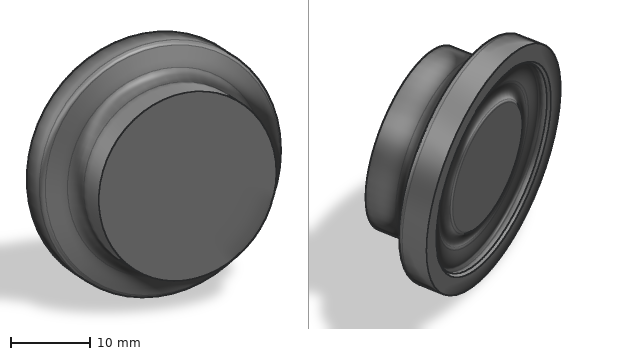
import cadquery as cq
import math

length = 11.5
flange_radius = 34 / 2
stub_radius = 25.0 / 2
edge_start = 3.57
edge_radius = 0.75
taper_angle = 20
cove_end = 7.1
cove_radius = 2.05

wall_radius = 28.4 / 2
lip_width = 0.35
lip_depth = 0.4
recess_depth = 1.53
floor_fillet = 0.4

groove_mouth_radius = 22.85 / 2
groove_outer_radius = 22.1 / 2
groove_inner_radius = 18.22 / 2
disc_radius = 17.55 / 2
groove_outer_angle = 31
groove_inner_angle = 60



def polar(center_x, center_r, radius, angle):
    """Point on an arc; the angle turns from the radial direction towards +X."""
    a = math.radians(angle)
    return (center_x + radius * math.sin(a), center_r + radius * math.cos(a))


def build_body():
    edge_center_r = flange_radius - edge_radius
    edge_sweep = 90 - taper_angle
    edge_mid = polar(edge_start, edge_center_r, edge_radius, edge_sweep / 2)
    edge_end = polar(edge_start, edge_center_r, edge_radius, edge_sweep)
    cove_center_r = stub_radius + cove_radius
    cove_start = polar(cove_end, cove_center_r, cove_radius, 180 + edge_sweep)
    cove_mid = polar(cove_end, cove_center_r, cove_radius, 180 + edge_sweep / 2)
    profile = (
        cq.Workplane("XY")
        .lineTo(0, flange_radius)
        .lineTo(edge_start, flange_radius)
        .threePointArc(edge_mid, edge_end)
        .lineTo(*cove_start)
        .threePointArc(cove_mid, (cove_end, stub_radius))
        .lineTo(length, stub_radius)
        .lineTo(length, 0)
        .close()
    )
    return profile.revolve(360, (0, 0, 0), (1, 0, 0))


def build_recess():
    outer = math.radians(groove_outer_angle)
    inner = math.radians(groove_inner_angle)
    groove_width = groove_outer_radius - groove_inner_radius
    groove_radius = groove_width / (math.sin(outer) + math.sin(inner))
    mouth_rounding = (groove_mouth_radius - groove_outer_radius) / math.sin(outer)
    disc_rounding = (groove_inner_radius - disc_radius) / math.sin(inner)

    outer_depth = recess_depth + mouth_rounding * (1 - math.cos(outer))
    groove_center_x = outer_depth - groove_radius * math.cos(outer)
    groove_center_r = groove_outer_radius - groove_radius * math.sin(outer)
    inner_depth = groove_center_x + groove_radius * math.cos(inner)
    disc_depth = inner_depth - disc_rounding * (1 - math.cos(inner))

    mouth_mid = polar(
        recess_depth + mouth_rounding, groove_mouth_radius, mouth_rounding, 270 - groove_outer_angle / 2
    )
    disc_mid = polar(disc_depth + disc_rounding, disc_radius, disc_rounding, 270 + groove_inner_angle / 2)
    wall_end = recess_depth - floor_fillet
    fillet_mid = polar(wall_end, wall_radius - floor_fillet, floor_fillet, 45)

    profile = (
        cq.Workplane("XY")
        .lineTo(0, wall_radius + lip_width)
        .lineTo(lip_depth, wall_radius)
        .lineTo(wall_end, wall_radius)
        .threePointArc(fillet_mid, (recess_depth, wall_radius - floor_fillet))
        .lineTo(recess_depth, groove_mouth_radius)
        .threePointArc(mouth_mid, (outer_depth, groove_outer_radius))
        .threePointArc((groove_center_x + groove_radius, groove_center_r), (inner_depth, groove_inner_radius))
        .threePointArc(disc_mid, (disc_depth, disc_radius))
        .lineTo(disc_depth, 0)
        .close()
    )
    return profile.revolve(360, (0, 0, 0), (1, 0, 0))


result = build_body().cut(build_recess())